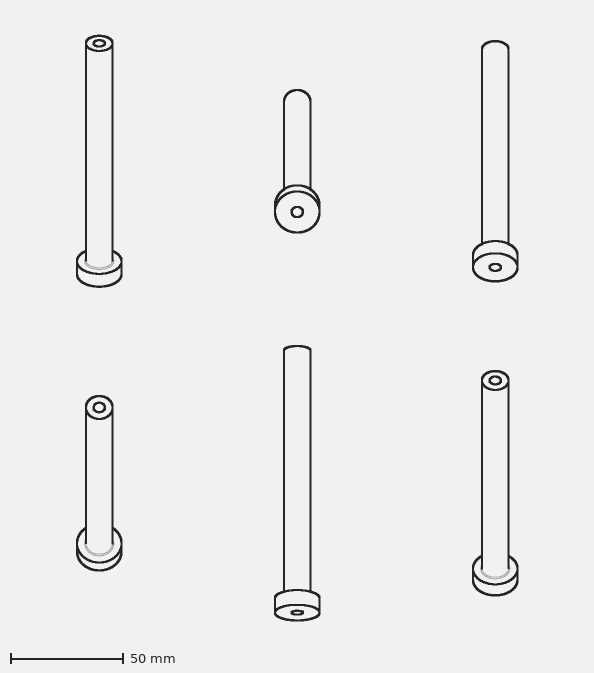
import cadquery as cq

total_length = 125.0
head_diameter = 20.0
head_height = 7.0
shaft_diameter = 12.0
bore_diameter = 5.0
neck_fillet = 0.5

head_radius = head_diameter / 2
shaft_radius = shaft_diameter / 2
bore_radius = bore_diameter / 2

half_section = (
    cq.Workplane("XZ")
    .moveTo(bore_radius, 0)
    .lineTo(head_radius, 0)
    .lineTo(head_radius, head_height)
    .lineTo(shaft_radius + neck_fillet, head_height)
    .radiusArc((shaft_radius, head_height + neck_fillet), neck_fillet)
    .lineTo(shaft_radius, total_length)
    .lineTo(bore_radius, total_length)
    .close()
)

result = half_section.revolve(360, (0, 0, 0), (0, 1, 0))